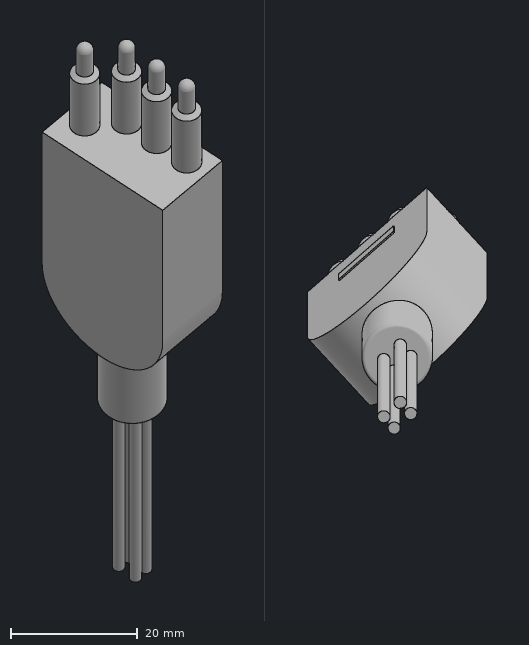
import cadquery as cq

total_length = 117.1

housing_width = 25.4
housing_depth = 14.3
housing_end_radius = housing_width / 2
housing_straight_height = 30.7

pad_thickness = 0.2
pad_width = 11.7
pad_height = 3.7
pad_below_housing_top = 9.7

barrel_diameter = 4.8
barrel_height = 12.1
plunger_diameter = 2.8
shoulder_height = 0.6
plunger_straight_height = 5.0
dome_height = 1.2
pin_height = barrel_height + shoulder_height + plunger_straight_height + dome_height

pin_pitch = 6.3
last_pin_x = 8.7
row_y = 3.2
pin_step = 4.7
row_start_x = last_pin_x - 2 * pin_pitch
row_positions = [(row_start_x + i * pin_pitch, row_y) for i in range(3)]
pin_positions = [(row_start_x - pin_step, row_y - pin_step)] + row_positions

sleeve_diameter = 11.1
sleeve_fillet = 0.6
sleeve_bottom = 39.4

wire_diameter = 2.0
wire_spacing_x = 3.5
wire_spacing_y = 2.5

housing_top = total_length - pin_height
arc_center_z = housing_top - housing_straight_height
housing_bottom = arc_center_z - housing_end_radius


def make_housing():
    half_width = housing_width / 2
    block = (
        cq.Workplane("XZ")
        .moveTo(-half_width, housing_top)
        .lineTo(half_width, housing_top)
        .lineTo(half_width, arc_center_z)
        .threePointArc((0, housing_bottom), (-half_width, arc_center_z))
        .close()
        .extrude(housing_depth / 2, both=True)
    )
    pad_center_z = housing_top - pad_below_housing_top
    pad = cq.Workplane("XY").box(pad_width, pad_thickness, pad_height).translate(
        (0, (housing_depth + pad_thickness) / 2, pad_center_z)
    )
    return block.union(pad)


def make_sleeve(housing):
    """Round sleeve whose upper end is shaped to the rounded end of the housing."""
    sleeve = (
        cq.Workplane("XY", origin=(0, 0, sleeve_bottom))
        .circle(sleeve_diameter / 2)
        .extrude(arc_center_z - sleeve_bottom)
        .faces("<Z")
        .edges()
        .fillet(sleeve_fillet)
    )
    return sleeve.cut(housing)


def make_pin(x, y):
    """Turned pin standing on the housing top, revolved about its own axis."""
    barrel_radius = barrel_diameter / 2
    plunger_radius = plunger_diameter / 2
    plunger_base = barrel_height + shoulder_height
    dome_base = plunger_base + plunger_straight_height
    dome_radius = (plunger_radius**2 + dome_height**2) / (2 * dome_height)
    dome_mid_x = plunger_radius / 2
    dome_mid_z = pin_height - dome_radius + (dome_radius**2 - dome_mid_x**2) ** 0.5
    return (
        cq.Workplane("XZ")
        .lineTo(barrel_radius, 0)
        .lineTo(barrel_radius, barrel_height)
        .lineTo(plunger_radius, plunger_base)
        .lineTo(plunger_radius, dome_base)
        .threePointArc((dome_mid_x, dome_mid_z), (0, pin_height))
        .close()
        .revolve()
        .translate((x, y, housing_top))
    )


def make_wire(x, y):
    return cq.Workplane("XY").center(x, y).circle(wire_diameter / 2).extrude(sleeve_bottom)


housing = make_housing()
sleeve = make_sleeve(housing)
pins = [make_pin(x, y) for x, y in pin_positions]
wires = [
    make_wire(side_x * wire_spacing_x / 2, side_y * wire_spacing_y / 2)
    for side_x in (-1, 1)
    for side_y in (-1, 1)
]

result = cq.Compound.makeCompound(
    [
        housing.val(),
        sleeve.val(),
        *[pin.val() for pin in pins],
        *[wire.val() for wire in wires],
    ]
)